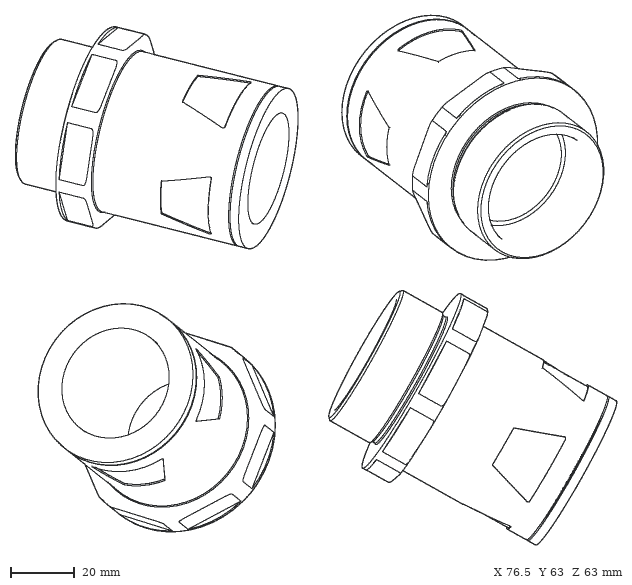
import cadquery as cq
import math

total_length = 76.5
spigot_end = 15.5
flange_start = 17.0
flats_start = 18.1
nut_end = 27.0
collar_end = 27.4
groove_start = 73.1
groove_width = 0.5
bore_shoulder = 17.0

spigot_diameter = 47.0
neck_diameter = 45.5
neck_root_diameter = 46.0
flange_diameter = 63.0
nut_across_flats = 60.0
body_diameter = 52.0
groove_diameter = 46.0
entry_bore_diameter = 39.0
through_bore_diameter = 36.0

spigot_lead_chamfer = 0.75
spigot_back_chamfer = 0.6
neck_root_length = 0.5
nut_rounding = 0.8
entry_rounding = 1.0
collar_height = 0.3

flat_count = 8
flat_pitch = 360 / flat_count

recess_count = 4
recess_start = 50.1
recess_end = 66.2
recess_narrow_width = 13.6
recess_wide_width = 24.2
recess_depth = 0.5
recess_corner_radius = 0.5

cut_clearance = 1.0


def revolve_about_x(outline):
    """Close an (x, radius) outline and turn it about the X axis."""
    return outline.close().revolve(360, (0, 0, 0), (1, 0, 0))


def quarter_arc_midpoint(center_x, center_radius, radius, x_sign, radius_sign):
    """Middle point of a quarter round about the given centre."""
    reach = radius * math.sqrt(0.5)
    return (center_x + x_sign * reach, center_radius + radius_sign * reach)


def cylinder(start, end, diameter):
    """Cylinder along X between two positions."""
    return cq.Workplane("YZ").workplane(offset=start).circle(diameter / 2).extrude(end - start)


def turned_body():
    """Spigot, neck, flange blank and body as one turned outline."""
    spigot = spigot_diameter / 2
    neck = neck_diameter / 2
    flange = flange_diameter / 2
    body = body_diameter / 2
    rounding_start = nut_end - nut_rounding
    rounding_base = flange - nut_rounding
    rounding_middle = quarter_arc_midpoint(rounding_start, rounding_base, nut_rounding, 1, 1)
    outline = (
        cq.Workplane("XY")
        .lineTo(0, spigot - spigot_lead_chamfer)
        .lineTo(spigot_lead_chamfer, spigot)
        .lineTo(spigot_end - spigot_back_chamfer, spigot)
        .lineTo(spigot_end, neck)
        .lineTo(flange_start - neck_root_length, neck)
        .lineTo(flange_start, neck_root_diameter / 2)
        .lineTo(flange_start, flange)
        .lineTo(rounding_start, flange)
        .threePointArc(rounding_middle, (nut_end, rounding_base))
        .lineTo(nut_end, body + collar_height)
        .lineTo(collar_end, body)
        .lineTo(total_length, body)
        .lineTo(total_length, 0)
    )
    return revolve_about_x(outline)


def nut_flat_cutter():
    """Material outside the octagon, over the length of the flats."""
    across_corners = nut_across_flats / math.cos(math.radians(flat_pitch / 2))
    flats_length = nut_end - flats_start
    octagon = (
        cq.Workplane("YZ")
        .workplane(offset=flats_start)
        .polygon(flat_count, across_corners)
        .extrude(flats_length)
    )
    return cylinder(flats_start, nut_end, flange_diameter + cut_clearance).cut(octagon)


def groove_cutter():
    """Narrow ring groove near the far end of the body."""
    groove_end = groove_start + groove_width
    outer = cylinder(groove_start, groove_end, body_diameter + cut_clearance)
    return outer.cut(cylinder(groove_start, groove_end, groove_diameter))


def bore_cutter():
    """Entry bore with a rounded mouth, stepping down to the through bore."""
    entry_bore = entry_bore_diameter / 2
    through_bore = through_bore_diameter / 2
    mouth = entry_bore + entry_rounding
    mouth_middle = quarter_arc_midpoint(entry_rounding, mouth, entry_rounding, -1, -1)
    outline = (
        cq.Workplane("XY")
        .lineTo(0, mouth)
        .threePointArc(mouth_middle, (entry_rounding, entry_bore))
        .lineTo(bore_shoulder, entry_bore)
        .lineTo(bore_shoulder, through_bore)
        .lineTo(total_length, through_bore)
        .lineTo(total_length, 0)
    )
    return revolve_about_x(outline)


def recess_cutter():
    """Shallow trapezoidal recess on the +Z side, following the body curve."""
    narrow = recess_narrow_width / 2
    wide = recess_wide_width / 2
    prism = (
        cq.Workplane("XY")
        .polyline([
            (recess_start, -narrow),
            (recess_end, -wide),
            (recess_end, wide),
            (recess_start, narrow),
        ])
        .close()
        .extrude(body_diameter)
        .edges("|Z and >X")
        .fillet(recess_corner_radius)
    )
    floor_diameter = body_diameter - 2 * recess_depth
    floor = cylinder(recess_start - cut_clearance, recess_end + cut_clearance, floor_diameter)
    return prism.cut(floor)


result = turned_body().cut(nut_flat_cutter()).cut(groove_cutter()).cut(bore_cutter())

recess = recess_cutter()
for index in range(recess_count):
    angle = index * 360 / recess_count
    result = result.cut(recess.rotate((0, 0, 0), (1, 0, 0), angle))